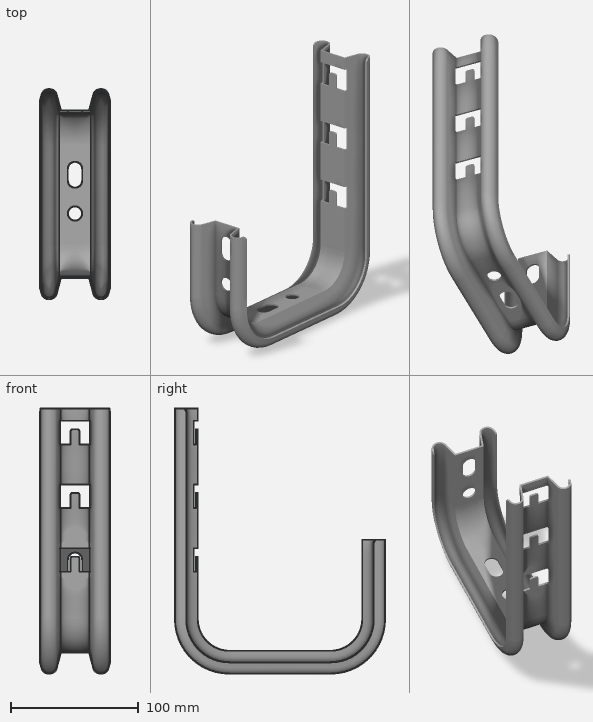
import cadquery as cq
import math

WIDTH = 55.0
SPAN = 165.0
TALL_HEIGHT = 208.0
SHORT_HEIGHT = 105.2
BEND_RADIUS = 24.7

SHEET = 1.5
DEPTH = 18.0
FLARE = math.radians(15)
RIM_RADIUS = 6.2
LIP_LENGTH = 4.4
LIP_CORNER_RADIUS = 3.0
RIM_CENTRE_X = WIDTH / 2 - RIM_RADIUS * math.cos(FLARE) - LIP_LENGTH * math.sin(FLARE)

NOTCH_COUNT = 3
NOTCH_PITCH = 50.0
NOTCH_TOP_GAP = 9.8
NOTCH_HEIGHT = 18.3
NOTCH_DEPTH = 3.1
TAB_WIDTH = 7.0
TAB_HEIGHT = 11.9
TAB_CORNER_RADIUS = 1.7

HOLE_DIAMETER = 11.0
SLOT_LENGTH = 20.2
HOLE_SPACING = 30.4
SHORT_ARM_SLOT_GAP = 20.4

WEB_Y = SPAN / 2 - DEPTH
WEB_Z = DEPTH


def rim_side(radius, web_depth):
    """Points (x, depth) of one sheet surface from the lip edge to the web, on the +X side."""
    along_x = math.sin(FLARE)
    along_depth = math.cos(FLARE)
    tangent_x = radius * math.cos(FLARE)
    tangent_depth = RIM_RADIUS - radius * math.sin(FLARE)
    lip_tangent = (RIM_CENTRE_X + tangent_x, tangent_depth)
    lip_edge = (lip_tangent[0] + LIP_LENGTH * along_x, tangent_depth + LIP_LENGTH * along_depth)
    crest = (RIM_CENTRE_X, RIM_RADIUS - radius)
    leg_tangent = (RIM_CENTRE_X - tangent_x, tangent_depth)
    web_corner = (leg_tangent[0] - (web_depth - tangent_depth) * math.tan(FLARE), web_depth)
    return lip_edge, lip_tangent, crest, leg_tangent, web_corner


def mirrored(points):
    return [(-x, depth) for x, depth in points]


def section():
    """Closed sheet section, with depth growing along +Y from the rim crests to the web."""
    outer = rim_side(RIM_RADIUS, DEPTH - SHEET)
    inner = rim_side(RIM_RADIUS - SHEET, DEPTH)
    outer_left = mirrored(outer)
    inner_left = mirrored(inner)
    return (
        cq.Workplane("XY", origin=(0, -SPAN / 2, TALL_HEIGHT))
        .moveTo(*outer[0])
        .lineTo(*outer[1])
        .threePointArc(outer[2], outer[3])
        .lineTo(*outer[4])
        .lineTo(*outer_left[4])
        .lineTo(*outer_left[3])
        .threePointArc(outer_left[2], outer_left[1])
        .lineTo(*outer_left[0])
        .lineTo(*inner_left[0])
        .lineTo(*inner_left[1])
        .threePointArc(inner_left[2], inner_left[3])
        .lineTo(*inner_left[4])
        .lineTo(*inner[4])
        .lineTo(*inner[3])
        .threePointArc(inner[2], inner[1])
        .lineTo(*inner[0])
        .close()
    )


def j_path():
    """Line followed by the web face: down the tall arm, along the base, up the short arm."""
    bend_z = WEB_Z + BEND_RADIUS
    bend_y = WEB_Y - BEND_RADIUS
    return (
        cq.Workplane("YZ")
        .moveTo(-WEB_Y, TALL_HEIGHT)
        .lineTo(-WEB_Y, bend_z)
        .tangentArcPoint((-bend_y, WEB_Z), relative=False)
        .lineTo(bend_y, WEB_Z)
        .tangentArcPoint((WEB_Y, bend_z), relative=False)
        .lineTo(WEB_Y, SHORT_HEIGHT)
    )


def lip_corner(side, end, top_z):
    """Selector for the lip's corner edge at an arm top, with side and end the signs of X and Y."""
    outer_x, outer_depth = rim_side(RIM_RADIUS, DEPTH - SHEET)[0]
    inner_x, inner_depth = rim_side(RIM_RADIUS - SHEET, DEPTH)[0]
    middle_x = side * (outer_x + inner_x) / 2
    middle_y = end * (SPAN / 2 - (outer_depth + inner_depth) / 2)
    return cq.selectors.NearestToPointSelector((middle_x, middle_y, top_z))


def notch_cutter(top_z):
    """Window through the web and the leg roots, leaving an upright tab in the middle."""
    bottom_z = top_z - NOTCH_HEIGHT
    window = cq.Workplane("XY").box(WIDTH, NOTCH_DEPTH, NOTCH_HEIGHT, centered=(True, False, False))
    tab = (
        cq.Workplane("XY")
        .box(TAB_WIDTH, NOTCH_DEPTH, TAB_HEIGHT, centered=(True, False, False))
        .edges("|Y and >Z")
        .fillet(TAB_CORNER_RADIUS)
    )
    return window.cut(tab).translate((0, -WEB_Y - NOTCH_DEPTH, bottom_z))


def hole_pair_cutter(plane):
    """Slot at the plane origin and a round hole on its negative local-Y side, through the web."""
    slot = plane.slot2D(SLOT_LENGTH, HOLE_DIAMETER, 90).extrude(SHEET, both=True)
    hole = plane.center(0, -HOLE_SPACING).circle(HOLE_DIAMETER / 2).extrude(SHEET, both=True)
    return slot.union(hole)


result = section().sweep(j_path())

for end, top_z in ((-1, TALL_HEIGHT), (1, SHORT_HEIGHT)):
    for side in (-1, 1):
        result = result.edges(lip_corner(side, end, top_z)).fillet(LIP_CORNER_RADIUS)

for index in range(NOTCH_COUNT):
    result = result.cut(notch_cutter(TALL_HEIGHT - NOTCH_TOP_GAP - index * NOTCH_PITCH))

base_plane = cq.Workplane("XY", origin=(0, HOLE_SPACING / 2, WEB_Z))
short_arm_plane = cq.Workplane("XZ", origin=(0, WEB_Y, SHORT_HEIGHT - SHORT_ARM_SLOT_GAP))
result = result.cut(hole_pair_cutter(base_plane))
result = result.cut(hole_pair_cutter(short_arm_plane))